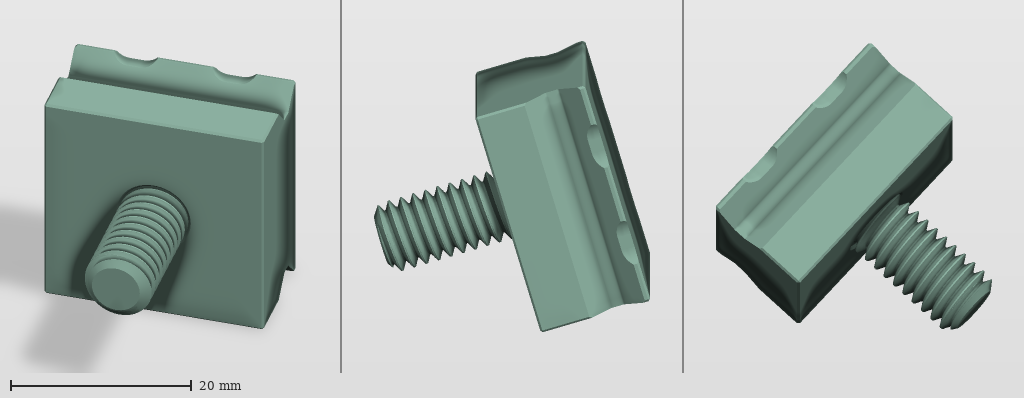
import cadquery as cq
import math

block_side = 25.4
block_thickness = 12.7
edge_chamfer = 0.25

groove_depth = 2.46
groove_floor_width = 1.48
groove_centre_from_back = 3.83
groove_fillet = 0.25

notch_depth = 0.88
notch_floor_width = 1.55
notch_mouth_width = 5.07
notch_spacing = 11.4

overall_length = 27.38
thread_diameter = 7.95
thread_pitch = 1.41
thread_flank_angle = 30.0
crest_from_tip = 2.08
tip_diameter = 5.53
tip_chamfer_length = 0.85
stud_engagement = thread_diameter

countersink_diameter = 8.6

half_side = block_side / 2
back_y = block_thickness / 2
front_y = -back_y
groove_y = back_y - groove_centre_from_back
stud_reach = overall_length - block_thickness
thread_radius = thread_diameter / 2
countersink_depth = (countersink_diameter - thread_diameter) / 2

thread_flat = thread_pitch / 8
flank_width = (thread_pitch - 2 * thread_flat) / 2
thread_depth = flank_width / math.tan(math.radians(thread_flank_angle))
root_radius = thread_radius - thread_depth

half_flat_angle = math.pi * thread_flat / thread_pitch
flank_sweep = math.pi - 2 * half_flat_angle
flank_steps = 8


def from_stud_axis(shape):
    """Move a shape built along +Z from the origin so that it leaves the front face along -Y."""
    return shape.rotate((0, 0, 0), (1, 0, 0), 90).translate((0, front_y, 0))


def make_groove():
    """Cutter for the groove in the top side, with rounded floor corners."""
    half_floor = groove_floor_width / 2
    half_mouth = half_floor + groove_depth
    floor_z = half_side - groove_depth
    return (
        cq.Workplane("YZ", origin=(-half_side, groove_y, 0))
        .moveTo(-half_mouth, half_side)
        .lineTo(-half_floor, floor_z)
        .lineTo(half_floor, floor_z)
        .lineTo(half_mouth, half_side)
        .close()
        .extrude(block_side)
        .edges("|X and <Z")
        .fillet(groove_fillet)
    )


def make_notch(centre_x):
    """Cutter for one notch in the top lip: a flat floor that runs into a round flank on each side."""
    half_floor = notch_floor_width / 2
    half_mouth = notch_mouth_width / 2
    flank_run = half_mouth - half_floor
    flank_radius = (flank_run**2 + notch_depth**2) / (2 * notch_depth)
    floor_z = half_side - notch_depth
    half_sweep = math.atan2(notch_depth, flank_run)
    mid_x = half_floor + flank_radius * math.sin(half_sweep)
    mid_z = floor_z + flank_radius * (1 - math.cos(half_sweep))
    return (
        cq.Workplane("XZ", origin=(centre_x, back_y, 0))
        .moveTo(-half_mouth, half_side)
        .threePointArc((-mid_x, mid_z), (-half_floor, floor_z))
        .lineTo(half_floor, floor_z)
        .threePointArc((mid_x, mid_z), (half_mouth, half_side))
        .close()
        .extrude(groove_centre_from_back)
    )


def make_stud_hole():
    """Cutter for the blind, countersunk hole that the plain end of the stud fills."""
    bore = cq.Workplane("XY").circle(thread_radius).extrude(-stud_engagement)
    countersink = (
        cq.Workplane("XZ")
        .lineTo(countersink_diameter / 2, 0)
        .lineTo(thread_radius, -countersink_depth)
        .lineTo(0, -countersink_depth)
        .close()
        .revolve(360, (0, 0), (0, 1))
    )
    return from_stud_axis(bore.union(countersink))


def make_block():
    """Chamfered plate with the grooves and notches mirrored in both sides, and the stud hole."""
    block = cq.Workplane("XY").box(block_side, block_thickness, block_side)
    block = block.edges().chamfer(edge_chamfer)
    top_cutters = [make_groove(), make_notch(-notch_spacing / 2), make_notch(notch_spacing / 2)]
    for cutter in top_cutters:
        block = block.cut(cutter).cut(cutter.mirror("XY"))
    return block.cut(make_stud_hole())


def polar(radius, angle):
    """Point at a radius and an angle about the stud axis."""
    return (radius * math.cos(angle), radius * math.sin(angle))


def thread_flank(start_angle, start_radius, end_radius):
    """Points after the first along a flank in cross-section, where it is an Archimedean spiral."""
    steps = [step / flank_steps for step in range(1, flank_steps + 1)]
    return [
        polar(start_radius + step * (end_radius - start_radius), start_angle + step * flank_sweep)
        for step in steps
    ]


def make_thread(start_z, length):
    """Length of right-handed thread: its cross-section twisted one turn per pitch as it rises."""
    crest_angle = 2 * math.pi * (start_z - (stud_reach - crest_from_tip)) / thread_pitch
    root_angle = crest_angle + math.pi
    falling_flank = thread_flank(crest_angle + half_flat_angle, thread_radius, root_radius)
    rising_flank = thread_flank(root_angle + half_flat_angle, root_radius, thread_radius)
    return (
        cq.Workplane("XY", origin=(0, 0, start_z))
        .moveTo(*polar(thread_radius, crest_angle - half_flat_angle))
        .threePointArc(polar(thread_radius, crest_angle), polar(thread_radius, crest_angle + half_flat_angle))
        .spline(falling_flank, includeCurrent=True)
        .threePointArc(polar(root_radius, root_angle), polar(root_radius, root_angle + half_flat_angle))
        .spline(rising_flank, includeCurrent=True)
        .close()
        .twistExtrude(length, 360 * length / thread_pitch)
    )


def make_stud():
    """Plain shank in the hole, then the thread, whose last turn is chamfered by a cone."""
    last_turn_z = stud_reach - thread_pitch
    tip_radius = tip_diameter / 2
    cone_slope = (thread_radius - tip_radius) / tip_chamfer_length
    cone_base_radius = tip_radius + cone_slope * thread_pitch
    cone = cq.Solid.makeCone(cone_base_radius, tip_radius, thread_pitch, cq.Vector(0, 0, last_turn_z))
    last_turn = make_thread(last_turn_z, thread_pitch).intersect(cq.Workplane(obj=cone), clean=False)
    main_thread = make_thread(-countersink_depth, last_turn_z + countersink_depth)
    shank = cq.Workplane("XY", origin=(0, 0, -stud_engagement)).circle(thread_radius)
    shank = shank.extrude(stud_engagement - countersink_depth)
    stud = main_thread.union(last_turn, glue=True, clean=False).union(shank, glue=True, clean=False)
    return from_stud_axis(stud)


block = make_block()
stud = make_stud()
result = cq.Compound.makeCompound([block.solids().val(), stud.solids().val()])